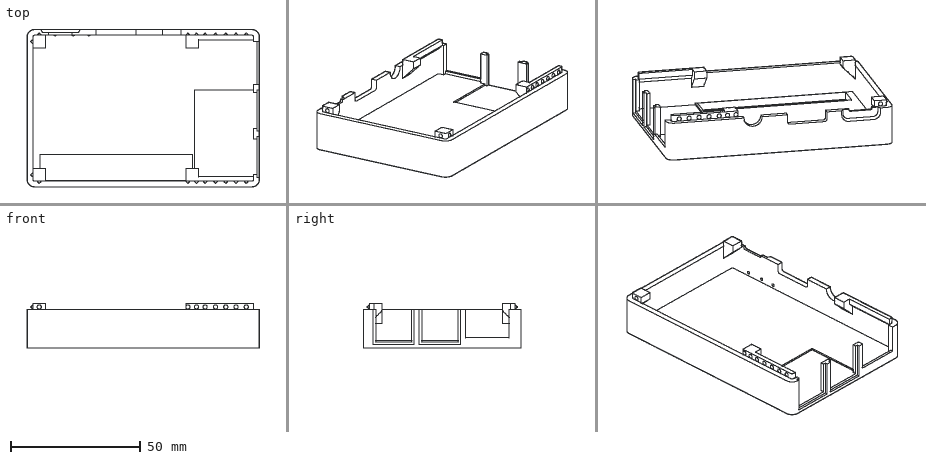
import cadquery as cq
import math

LENGTH = 90.0
WIDTH = 61.0
RIM_Z = 15.0
TAB_TOP_Z = 17.4
WALL = 2.25
FLOOR_Z = 3.0
OUTER_RADIUS = 3.0
INNER_RADIUS = OUTER_RADIUS - WALL
INNER_END_X = LENGTH - WALL
INNER_BACK_Y = WIDTH - WALL

WINDOW_X = (5.0, 64.0)
WINDOW_Y = (2.5, 12.5)

POCKET_START_X = 64.9
POCKET_BACK_Y = 37.6
POCKET_DEPTH = 0.6
POCKET_Z = FLOOR_Z - POCKET_DEPTH

PLAIN_PORT_Y = (39.6, 56.4)
PLAIN_PORT_LIP = 1.1
FLANGED_PORTS_Y = ((4.8, 18.6), (22.6, 36.6))
FLANGE_MARGIN = 1.0
FLANGE_DEPTH = 1.0
FLANGE_FACE_X = LENGTH - FLANGE_DEPTH

SLOT_X = (26.6, 42.2)
SLOT_DEPTH = 3.9
SLOT_RADIUS = 0.9
ROUND_NOTCH_X = 56.0
ROUND_NOTCH_RADIUS = 3.6
SMALL_SLOT_X = (8.4, 17.5)
SMALL_SLOT_DEPTH = 0.9
SMALL_SLOT_RADIUS = 0.6
PLUG_RECESS_X = (5.2, 20.7)
PLUG_RECESS_DROP = 4.5
PLUG_RECESS_RADIUS = 2.8
PLUG_RECESS_DEPTH = 1.3
PLUG_RECESS_INSET = 0.8

BLOCK_SIZE = 4.95
BLOCK_HEIGHT = 2.9
RAIL_BLOCK_X = 61.5
RAIL_WIDTH = 1.8
RAIL_HEIGHT = TAB_TOP_Z - RIM_Z

CATCH_RADIUS = 0.8
CATCH_HEIGHT = 0.9
CATCH_Z = RIM_Z + 0.9
CLOSE_CATCHES = (62.3, 3.3, 3)
WIDE_CATCHES = (73.0, 4.0, 4)
BLOCK_CATCH = WALL + BLOCK_SIZE / 2

STUDS_X = (10.9, 17.9, 23.9)
STUD_Z = FLOOR_Z + 1.4
STUD_RADIUS = 0.5
STUD_HEIGHT = 0.4


def box(x_range, y_range, z_range):
    """Box between the given low and high limits."""
    size = [high - low for low, high in (x_range, y_range, z_range)]
    corner = (x_range[0], y_range[0], z_range[0])
    return cq.Workplane("XY").box(*size, centered=False).translate(corner)


def cavity(z_low, z_high):
    """Rounded block as wide as the inside of the shell."""
    block = box((WALL, INNER_END_X), (WALL, INNER_BACK_Y), (z_low, z_high))
    return block.edges("|Z").fillet(INNER_RADIUS)


def make_shell():
    outside = box((0, LENGTH), (0, WIDTH), (0, RIM_Z)).edges("|Z").fillet(OUTER_RADIUS)
    shell = outside.cut(cavity(FLOOR_Z, RIM_Z))
    shell = shell.cut(box(WINDOW_X, WINDOW_Y, (0, FLOOR_Z)))
    return shell.cut(box((POCKET_START_X, INNER_END_X), (WALL, POCKET_BACK_Y), (POCKET_Z, FLOOR_Z)))


def end_ports():
    """Cutters for the plain port and the two flanged ports in the +X wall."""
    lip_z = FLOOR_Z + PLAIN_PORT_LIP
    cutter = box((INNER_END_X, FLANGE_FACE_X), PLAIN_PORT_Y, (FLOOR_Z, RIM_Z))
    cutter = cutter.union(box((INNER_END_X, LENGTH), PLAIN_PORT_Y, (lip_z, RIM_Z)))
    for low_y, high_y in FLANGED_PORTS_Y:
        flange_y = (low_y - FLANGE_MARGIN, high_y + FLANGE_MARGIN)
        cutter = cutter.union(box((INNER_END_X, LENGTH), (low_y, high_y), (POCKET_Z, RIM_Z)))
        cutter = cutter.union(box((FLANGE_FACE_X, LENGTH), flange_y, (POCKET_Z - FLANGE_MARGIN, RIM_Z)))
    return cutter


def rim_slot(x_range, depth, radius):
    """Slot through the +Y wall with rounded lower corners."""
    slot = box(x_range, (INNER_BACK_Y, WIDTH), (RIM_Z - depth, RIM_Z + radius))
    return slot.edges("|Y and <Z").fillet(radius)


def plug_recess():
    """Flared recess in the outer face of the +Y wall, symmetric about the rim plane."""
    taper = math.degrees(math.atan2(PLUG_RECESS_INSET, PLUG_RECESS_DEPTH))
    width = PLUG_RECESS_X[1] - PLUG_RECESS_X[0]
    outer_face = cq.Workplane("XZ", origin=(sum(PLUG_RECESS_X) / 2, WIDTH, RIM_Z))
    outline = cq.Sketch().rect(width, 2 * PLUG_RECESS_DROP).vertices().fillet(PLUG_RECESS_RADIUS)
    return outer_face.placeSketch(outline).extrude(PLUG_RECESS_DEPTH, taper=taper)


def round_notch():
    center = (ROUND_NOTCH_X, INNER_BACK_Y, RIM_Z)
    return cq.Workplane("XZ", origin=center).circle(ROUND_NOTCH_RADIUS).extrude(-WALL)


def support_profile(plane, reach, height):
    """Side outline of a tab whose 45 degree underside runs back to the wall at the local origin."""
    face_z = TAB_TOP_Z - height
    outline = ((0, TAB_TOP_Z), (reach, TAB_TOP_Z), (reach, face_z), (0, face_z - abs(reach)))
    return plane.polyline(outline).close()


def corner_block(low_y):
    """Block supported by the -X wall."""
    plane = cq.Workplane("XZ", origin=(WALL, low_y, 0))
    return support_profile(plane, BLOCK_SIZE, BLOCK_HEIGHT).extrude(-BLOCK_SIZE)


def side_tab(wall_y, inward):
    """Rail with a block at its start, supported by a side wall; inward is +1 or -1 along Y."""
    plane = cq.Workplane("YZ", origin=(RAIL_BLOCK_X, wall_y, 0))
    block = support_profile(plane, inward * BLOCK_SIZE, BLOCK_HEIGHT).extrude(BLOCK_SIZE)
    rail_length = INNER_END_X - RAIL_BLOCK_X
    return block.union(support_profile(plane, inward * RAIL_WIDTH, RAIL_HEIGHT).extrude(rail_length))


def make_tabs():
    tabs = corner_block(WALL).union(corner_block(INNER_BACK_Y - BLOCK_SIZE))
    tabs = tabs.union(side_tab(WALL, 1)).union(side_tab(INNER_BACK_Y, -1))
    return tabs.intersect(cavity(FLOOR_Z, TAB_TOP_Z))


def cone(base, direction, radius, height):
    return cq.Workplane(cq.Solid.makeCone(radius, 0, height, cq.Vector(*base), cq.Vector(*direction)))


def add_catches(body):
    side_x = [BLOCK_CATCH]
    for first, pitch, count in (CLOSE_CATCHES, WIDE_CATCHES):
        side_x += [first + pitch * index for index in range(count)]
    for x in side_x:
        body = body.union(cone((x, WALL, CATCH_Z), (0, -1, 0), CATCH_RADIUS, CATCH_HEIGHT))
        body = body.union(cone((x, INNER_BACK_Y, CATCH_Z), (0, 1, 0), CATCH_RADIUS, CATCH_HEIGHT))
    for y in (BLOCK_CATCH, WIDTH - BLOCK_CATCH):
        body = body.union(cone((WALL, y, CATCH_Z), (-1, 0, 0), CATCH_RADIUS, CATCH_HEIGHT))
    return body


def add_studs(body):
    for x in STUDS_X:
        body = body.union(cone((x, INNER_BACK_Y, STUD_Z), (0, -1, 0), STUD_RADIUS, STUD_HEIGHT))
    return body


result = make_shell().cut(end_ports())
result = result.cut(rim_slot(SLOT_X, SLOT_DEPTH, SLOT_RADIUS))
result = result.cut(rim_slot(SMALL_SLOT_X, SMALL_SLOT_DEPTH, SMALL_SLOT_RADIUS))
result = result.cut(round_notch()).cut(plug_recess())
result = result.union(make_tabs())
result = add_studs(add_catches(result))